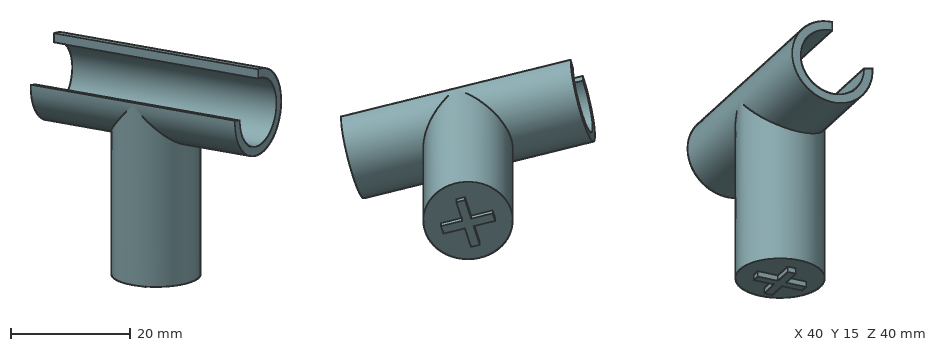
import cadquery as cq
import math

length = 40.0
height = 40.0
outer_diameter = 15.0
wall = 1.6
key_height = 1.0
key_span = 9.0
key_width = 1.5
lip_height = 0.45
lip_angle = 12.0

outer_radius = outer_diameter / 2
bore_radius = outer_radius - wall
axis_height = height - outer_radius


def tube_cylinder(radius):
    """Cylinder along X, centred on the tube axis."""
    return (
        cq.Workplane("YZ", origin=(0, 0, axis_height))
        .circle(radius)
        .extrude(length / 2, both=True)
    )


def side_opening():
    """Open the upper -Y quarter: upright upper lip, sloping lower lip."""
    slope = math.tan(math.radians(lip_angle))
    reach = 2 * outer_radius
    inner_height = lip_height - slope * outer_radius
    far_height = lip_height + slope * (reach - outer_radius)
    return (
        cq.Workplane("YZ", origin=(0, 0, axis_height))
        .polyline([(0, inner_height), (-reach, far_height), (-reach, reach), (0, reach)])
        .close()
        .extrude(length, both=True)
    )


def stem():
    """Solid round stem reaching up to the tube axis."""
    return (
        cq.Workplane("XY", origin=(0, 0, key_height))
        .circle(outer_radius)
        .extrude(axis_height - key_height)
    )


def cross_key():
    """Two crossed bars under the stem."""
    bottom = cq.Workplane("XY")
    bar_along_x = bottom.rect(key_span, key_width).extrude(key_height)
    bar_along_y = bottom.rect(key_width, key_span).extrude(key_height)
    return bar_along_x.union(bar_along_y)


result = (
    tube_cylinder(outer_radius)
    .union(stem())
    .cut(tube_cylinder(bore_radius))
    .cut(side_opening())
    .union(cross_key())
)